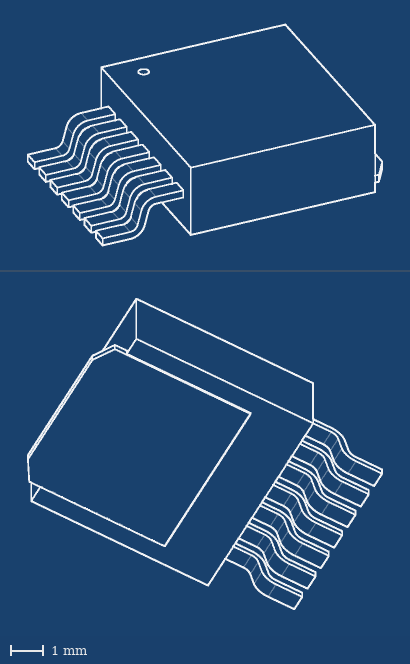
import cadquery as cq
import math


overall_length = 9.7
lead_tip_y = -overall_length / 2
tab_end_y = overall_length / 2

housing_width = 6.6
housing_length = 6.17
housing_height = 2.39
housing_bottom_z = 0.06
housing_top_z = housing_bottom_z + housing_height

tab_width = 5.38
tab_length = 5.15
tab_thickness = 0.25
tab_overhang = 0.82
tab_corner_x = 0.67
tab_corner_y = 0.42

housing_back_y = tab_end_y - tab_overhang
housing_front_y = housing_back_y - housing_length

lead_count = 7
lead_pitch = 0.83
lead_width = 0.5
lead_thickness = 0.25
lead_drop = 1.04
shoulder_length = 0.92
bend_angle = math.radians(75)
inner_radius = 0.25
outer_radius = inner_radius + lead_thickness

marker_diameter = 0.33
marker_depth = 0.05
marker_x = -2.51
marker_inset = 1.07
marker_y = housing_front_y + marker_inset


def make_tab():
    """Flat heat tab with its two outer corners cut off."""
    half_width = tab_width / 2
    tab_start_y = tab_end_y - tab_length
    return (
        cq.Workplane("XY")
        .moveTo(-half_width, tab_start_y)
        .lineTo(half_width, tab_start_y)
        .lineTo(half_width, tab_end_y - tab_corner_y)
        .lineTo(half_width - tab_corner_x, tab_end_y)
        .lineTo(-half_width + tab_corner_x, tab_end_y)
        .lineTo(-half_width, tab_end_y - tab_corner_y)
        .close()
        .extrude(tab_thickness)
    )


def make_marker():
    """Pin-one disc whose top face lies in the housing top face."""
    return (
        cq.Workplane("XY", origin=(marker_x, marker_y, housing_top_z - marker_depth))
        .circle(marker_diameter / 2)
        .extrude(marker_depth)
    )


def make_housing(tab, marker):
    """Plain block with matching recesses for the tab and the marker."""
    block = (
        cq.Workplane("XY", origin=(0, (housing_front_y + housing_back_y) / 2, housing_bottom_z))
        .box(housing_width, housing_length, housing_height, centered=(True, True, False))
    )
    return block.cut(tab).cut(marker)


def make_lead(center_x):
    """Gull-wing lead: shoulder, bend down, slope, bend back to a flat foot."""
    radius_sum = inner_radius + outer_radius
    slope_length = (lead_drop - radius_sum * (1 - math.cos(bend_angle))) / math.sin(bend_angle)
    bend_run = radius_sum * math.sin(bend_angle) + slope_length * math.cos(bend_angle)

    foot_bottom_z = housing_bottom_z
    foot_top_z = foot_bottom_z + lead_thickness
    shoulder_bottom_z = foot_bottom_z + lead_drop
    shoulder_top_z = shoulder_bottom_z + lead_thickness

    shoulder_end_y = housing_front_y - shoulder_length
    foot_start_y = shoulder_end_y - bend_run
    upper_center_z = shoulder_top_z - outer_radius
    lower_center_z = foot_bottom_z + outer_radius

    def upper_point(radius, angle):
        """Point on the upper bend, turned by angle from the shoulder."""
        return (shoulder_end_y - radius * math.sin(angle), upper_center_z + radius * math.cos(angle))

    def lower_point(radius, angle):
        """Point on the lower bend, turned by angle from the foot."""
        return (foot_start_y + radius * math.sin(angle), lower_center_z - radius * math.cos(angle))

    half_angle = bend_angle / 2
    profile = (
        cq.Workplane("YZ", origin=(center_x - lead_width / 2, 0, 0))
        .moveTo(housing_front_y, shoulder_top_z)
        .lineTo(shoulder_end_y, shoulder_top_z)
        .threePointArc(upper_point(outer_radius, half_angle), upper_point(outer_radius, bend_angle))
        .lineTo(*lower_point(inner_radius, bend_angle))
        .threePointArc(lower_point(inner_radius, half_angle), (foot_start_y, foot_top_z))
        .lineTo(lead_tip_y, foot_top_z)
        .lineTo(lead_tip_y, foot_bottom_z)
        .lineTo(foot_start_y, foot_bottom_z)
        .threePointArc(lower_point(outer_radius, half_angle), lower_point(outer_radius, bend_angle))
        .lineTo(*upper_point(inner_radius, bend_angle))
        .threePointArc(upper_point(inner_radius, half_angle), (shoulder_end_y, shoulder_bottom_z))
        .lineTo(housing_front_y, shoulder_bottom_z)
        .close()
    )
    return profile.extrude(lead_width)


tab = make_tab()
marker = make_marker()
housing = make_housing(tab, marker)

leads = []
for index in range(lead_count):
    lead_x = (index - (lead_count - 1) / 2) * lead_pitch
    leads.append(make_lead(lead_x))

result = cq.Compound.makeCompound(
    [housing.val(), tab.val(), marker.val(), *[lead.val() for lead in leads]]
)